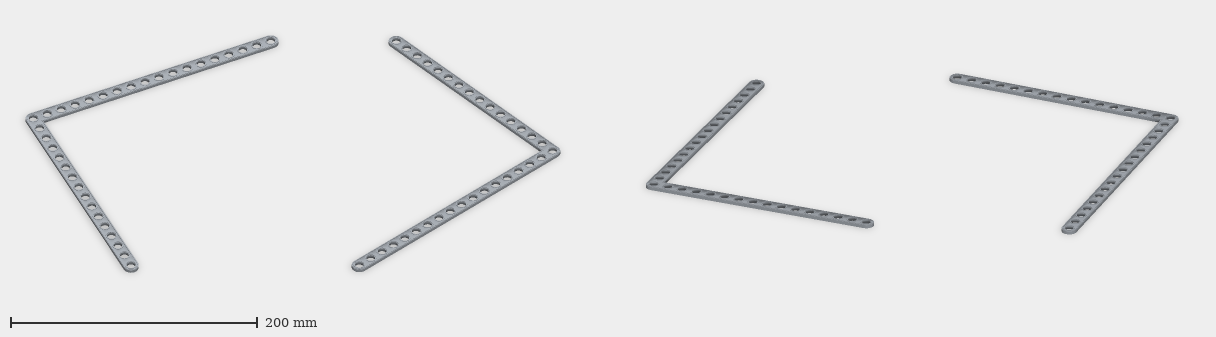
import cadquery as cq

long_side = 225.0
long_hole_count = 18
short_hole_count = 16
thickness = 3.2
hole_diameter = 7.0
hole_rim_diameter = 9.2
rim_height = 0.5
rim_setback = 0.5

pitch = long_side / long_hole_count
arm_width = pitch
short_side = short_hole_count * pitch

rim_width = (hole_rim_diameter - hole_diameter) / 2 - rim_setback
base_thickness = thickness - rim_height

short_arm_centres = [(i * pitch, 0) for i in range(short_hole_count)]
long_arm_centres = [(0, i * pitch) for i in range(1, long_hole_count)]
hole_centres = short_arm_centres + long_arm_centres


def arm(length, bottom, height, inset):
    """Round-ended bar along X around the first hole, drawn in from the arm outline by inset."""
    return (
        cq.Workplane("XY", origin=(0, 0, bottom))
        .center((length - arm_width) / 2, 0)
        .slot2D(length - 2 * inset, arm_width - 2 * inset)
        .extrude(height)
    )


def angle_plate(bottom, height, inset=0.0):
    """L-shaped slab with the short arm along X and the long arm along Y."""
    short_arm = arm(short_side, bottom, height, inset)
    long_arm = arm(long_side, bottom, height, inset).rotate((0, 0, 0), (0, 0, 1), 90)
    return short_arm.union(long_arm)


def discs(diameter, bottom, height):
    """One disc at every hole centre."""
    return (
        cq.Workplane("XY", origin=(0, 0, bottom))
        .pushPoints(hole_centres)
        .circle(diameter / 2)
        .extrude(height)
    )


base = angle_plate(0, base_thickness)

outline_rim = angle_plate(base_thickness, rim_height, rim_setback).cut(
    angle_plate(base_thickness, rim_height, rim_setback + rim_width)
)

hole_rims = discs(hole_rim_diameter, base_thickness, rim_height).cut(
    discs(hole_diameter + 2 * rim_setback, base_thickness, rim_height)
)

result = base.union(outline_rim).union(hole_rims).cut(discs(hole_diameter, 0, thickness))